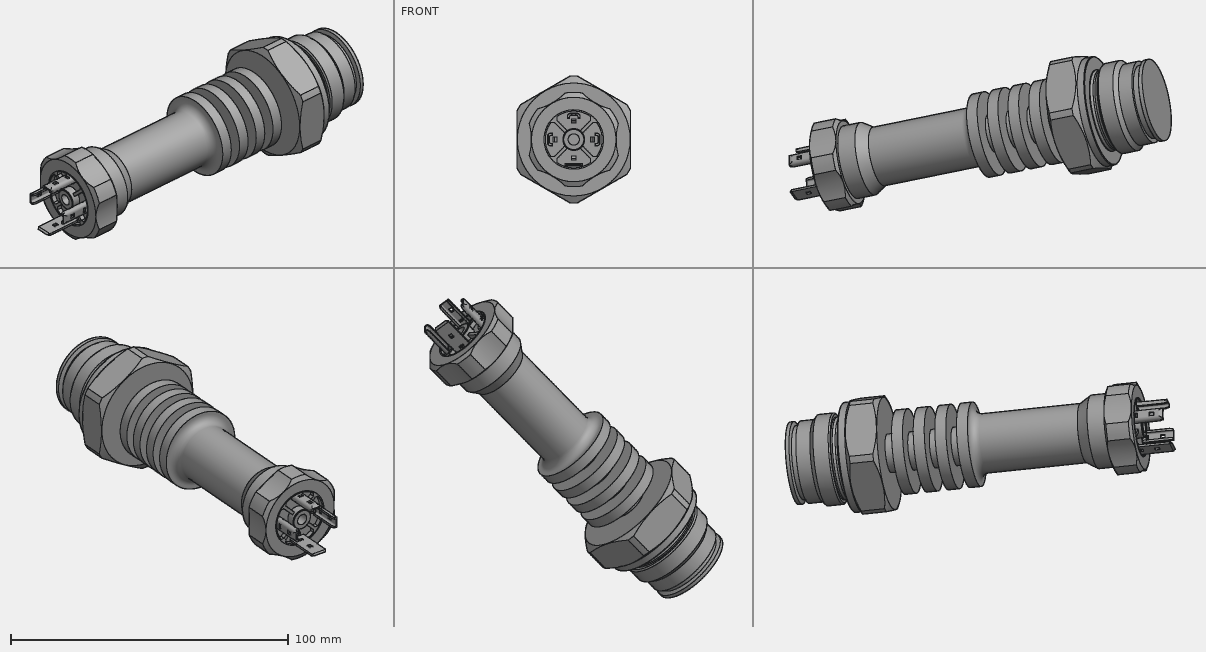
import cadquery as cq
import math

OVERALL_LENGTH = 140.5

REAR_DIA = 30.0
REAR_LIP_END = 1.4
REAR_GROOVE_DIA = 27.0
REAR_GROOVE_START = 2.0
REAR_GROOVE_END = 4.0
COLLAR_CHAMFER_START = 9.1
COLLAR_DIA = 33.3
COLLAR_START = 10.7
COLLAR_END = 16.9
COLLAR_EDGE_CHAMFER = 0.5
NECK_GROOVE_DIA = 29.2
NECK_GROOVE_START = 17.4
NECK_GROOVE_END = 20.1
NECK_GROOVE_TAPER = 1.0
FLANGE_DIA = 40.0
FLANGE_START = 20.4
FLANGE_CHAMFER = 0.3

NUT_START = 23.2
NUT_END = 35.1
NUT_ACROSS_FLATS = 41.0
NUT_CORNER_DIA = 46.0
NUT_FACE_DIA = 40.7
NUT_REAR_CHAMFER_LENGTH = 1.8
NUT_FRONT_CHAMFER_LENGTH = 1.4

CORE_DIA = 14.0
FIN_DIA = 30.8
FIN_COUNT = 4
FIN_THICKNESS = 4.1
FIN_PITCH = 8.0
FIRST_FIN_START = 39.5
LAST_FIN_START = FIRST_FIN_START + (FIN_COUNT - 1) * FIN_PITCH

BARREL_DIA = 21.6
FLARE_RADIUS = 3.2
SHOULDER_DIA = 26.8
SHOULDER_CONE_START = 107.2
SHOULDER_START = 111.4

CAP_START = 118.0
CAP_FACE = 128.3
CAP_DIA = 34.1
CAP_FACE_DIA = 30.5
CAP_CHAMFER_LENGTH = 1.0
FLUTE_COUNT = 6
FLUTE_BOTTOM_RADIUS = 15.3
CORNER_HALF_WIDTH = 3.1

CARRIER_DIA = 21.5
CARRIER_RECESS = 0.3
POCKET_DIA = 20.5
POCKET_DEPTH = 2.1
POCKET_FLOOR = CAP_FACE - POCKET_DEPTH
RIB_WIDTH = 1.2
RIB_FLARE_START = 9.3
BOSS_DIA = 7.9
BOSS_PROJECTION = 1.3
BOSS_TIP = CAP_FACE + BOSS_PROJECTION
BOSS_CHAMFER = 0.3
BOSS_HOLE_DIA = 4.1
BOSS_HOLE_DEPTH = 5.6

SHEET = 0.8
PUNCH_DEPTH = 2 * SHEET
CONTACT_OUTER_RADIUS = 9.5
CHANNEL_WIDTH = 4.6
CHANNEL_HEIGHT = 2.0
CHANNEL_FLAT = 2.0
CHANNEL_TIP = 138.4
CHANNEL_TIP_LENGTH = 1.3
CHANNEL_TIP_INSET = 0.1
BLADE_WIDTH = 6.2
BLADE_TIP_LENGTH = 0.8
TIP_INSET = 0.35
BLADE_TIP_INSET = 0.7
HOLE_WIDTH = 1.3
HOLE_LENGTH = 1.7
HOLE_STATION = 134.3
WINDOW_WIDTH = 1.7
WINDOW_END = 129.1

LUG_WIDTH = 1.7
LUG_HEIGHT = 1.3
LUG_INNER_RADIUS = 6.0
LUG_OUTER_RADIUS = 7.5
LUG_BEVEL = 0.8


def cylinder(diameter, start, end):
    """Cylinder on the Y axis between two stations."""
    return cq.Workplane("XZ", origin=(0, -start, 0)).circle(diameter / 2).extrude(end - start)


def revolved(profile):
    """Solid of revolution from (diameter, station) pairs, closed along the axis."""
    outline = [(0, -profile[0][1])]
    outline += [(diameter / 2, -station) for diameter, station in profile]
    outline.append((0, -profile[-1][1]))
    return cq.Workplane("XY").polyline(outline).close().revolve(360, (0, 0), (0, 1))


def around_axis(solid, angle):
    return solid.rotate((0, 0, 0), (0, 1, 0), angle)


def rear_coupling():
    return revolved([
        (REAR_DIA, 0),
        (REAR_DIA, REAR_LIP_END),
        (REAR_GROOVE_DIA, REAR_GROOVE_START),
        (REAR_GROOVE_DIA, REAR_GROOVE_END),
        (REAR_DIA, REAR_GROOVE_END),
        (REAR_DIA, COLLAR_CHAMFER_START),
        (COLLAR_DIA, COLLAR_START),
        (COLLAR_DIA, COLLAR_END - COLLAR_EDGE_CHAMFER),
        (COLLAR_DIA - 2 * COLLAR_EDGE_CHAMFER, COLLAR_END),
        (REAR_DIA, COLLAR_END),
        (REAR_DIA, NECK_GROOVE_START),
        (NECK_GROOVE_DIA, NECK_GROOVE_START + NECK_GROOVE_TAPER),
        (NECK_GROOVE_DIA, NECK_GROOVE_END - NECK_GROOVE_TAPER),
        (REAR_DIA, NECK_GROOVE_END),
        (REAR_DIA, FLANGE_START),
        (FLANGE_DIA - 2 * FLANGE_CHAMFER, FLANGE_START),
        (FLANGE_DIA, FLANGE_START + FLANGE_CHAMFER),
        (FLANGE_DIA, NUT_START),
    ])


def hexagon_nut():
    corner_to_corner = NUT_ACROSS_FLATS / math.cos(math.pi / 6)
    hexagon = cq.Workplane("XZ", origin=(0, -NUT_START, 0)).polygon(6, corner_to_corner)
    prism = around_axis(hexagon.extrude(NUT_END - NUT_START), 30)
    envelope = revolved([
        (FLANGE_DIA, NUT_START),
        (NUT_CORNER_DIA, NUT_START + NUT_REAR_CHAMFER_LENGTH),
        (NUT_CORNER_DIA, NUT_END - NUT_FRONT_CHAMFER_LENGTH),
        (NUT_FACE_DIA, NUT_END),
    ])
    return prism.intersect(envelope)


def finned_core():
    core = cylinder(CORE_DIA, NUT_END, LAST_FIN_START)
    for index in range(FIN_COUNT):
        start = FIRST_FIN_START + index * FIN_PITCH
        core = core.union(cylinder(FIN_DIA, start, start + FIN_THICKNESS))
    return core


def barrel():
    start = LAST_FIN_START + FIN_THICKNESS
    radius = BARREL_DIA / 2
    shoulder_radius = SHOULDER_DIA / 2
    profile = (
        cq.Workplane("XY")
        .moveTo(0, -CAP_START)
        .lineTo(shoulder_radius, -CAP_START)
        .lineTo(shoulder_radius, -SHOULDER_START)
        .lineTo(radius, -SHOULDER_CONE_START)
        .lineTo(radius, -start - FLARE_RADIUS)
        .tangentArcPoint((radius + FLARE_RADIUS, -start), relative=False)
        .lineTo(0, -start)
        .close()
    )
    return profile.revolve(360, (0, 0), (0, 1))


def fluted_cap():
    cap = revolved([
        (CAP_FACE_DIA, CAP_START),
        (CAP_DIA, CAP_START + CAP_CHAMFER_LENGTH),
        (CAP_DIA, CAP_FACE - CAP_CHAMFER_LENGTH),
        (CAP_FACE_DIA, CAP_FACE),
    ])
    corner_angle = math.asin(CORNER_HALF_WIDTH / (CAP_DIA / 2))
    half_flute_angle = math.pi / FLUTE_COUNT - corner_angle
    edge_distance = CAP_DIA / 2 * math.cos(half_flute_angle)
    half_chord = CAP_DIA / 2 * math.sin(half_flute_angle)
    sag = edge_distance - FLUTE_BOTTOM_RADIUS
    flute_radius = (half_chord**2 + sag**2) / (2 * sag)
    flute = (
        cq.Workplane("XZ", origin=(FLUTE_BOTTOM_RADIUS + flute_radius, -CAP_START, 0))
        .circle(flute_radius)
        .extrude(CAP_FACE - CAP_START)
    )
    for index in range(FLUTE_COUNT):
        cap = cap.cut(around_axis(flute, index * 360 / FLUTE_COUNT))
    return cap


def carrier_pockets():
    """Four pockets round the boss, parted by diagonal ribs that flare at the wall."""
    pockets = cylinder(POCKET_DIA, POCKET_FLOOR, CAP_FACE)
    half_rib = RIB_WIDTH / 2
    flare = CARRIER_DIA / 2 - RIB_FLARE_START
    rib = (
        cq.Workplane("XZ", origin=(0, -POCKET_FLOOR, 0))
        .moveTo(0, -half_rib)
        .lineTo(RIB_FLARE_START, -half_rib)
        .lineTo(RIB_FLARE_START + flare, -half_rib - flare)
        .lineTo(RIB_FLARE_START + flare, half_rib + flare)
        .lineTo(RIB_FLARE_START, half_rib)
        .lineTo(0, half_rib)
        .close()
        .extrude(POCKET_DEPTH)
    )
    for angle in (45, 135, 225, 315):
        pockets = pockets.cut(around_axis(rib, angle))
    return pockets.union(cylinder(CARRIER_DIA, CAP_FACE - CARRIER_RECESS, CAP_FACE))


def boss():
    return revolved([
        (BOSS_DIA, POCKET_FLOOR),
        (BOSS_DIA, BOSS_TIP - BOSS_CHAMFER),
        (BOSS_DIA - 2 * BOSS_CHAMFER, BOSS_TIP),
    ])


def tapered_bar(width, height, tip, tip_length, width_inset, height_inset):
    """Bar above the axis whose free end tapers on all four sides."""
    middle = CONTACT_OUTER_RADIUS - height / 2
    shank = (
        cq.Workplane("XZ", origin=(0, -POCKET_FLOOR, middle))
        .rect(width, height)
        .extrude(tip - tip_length - POCKET_FLOOR)
    )
    end = (
        cq.Workplane("XZ", origin=(0, -(tip - tip_length), middle))
        .rect(width, height)
        .workplane(offset=tip_length)
        .rect(width - 2 * width_inset, height - 2 * height_inset)
        .loft(ruled=True)
    )
    return shank.union(end)


def punched(contact):
    """Punch the small hole near the tip and the window at the root of a contact."""
    middle = CONTACT_OUTER_RADIUS - SHEET / 2
    hole = cq.Workplane("XY").box(HOLE_WIDTH, HOLE_LENGTH, PUNCH_DEPTH)
    window_length = WINDOW_END - CAP_FACE
    window = cq.Workplane("XY").box(WINDOW_WIDTH, window_length, PUNCH_DEPTH)
    contact = contact.cut(hole.translate((0, -HOLE_STATION, middle)))
    return contact.cut(window.translate((0, -CAP_FACE - window_length / 2, middle)))


def lug():
    """Upright lug with a bevel on the side facing the boss."""
    top = POCKET_FLOOR + LUG_HEIGHT
    return (
        cq.Workplane("YZ", origin=(-LUG_WIDTH / 2, 0, 0))
        .moveTo(-POCKET_FLOOR, LUG_INNER_RADIUS)
        .lineTo(-top + LUG_BEVEL, LUG_INNER_RADIUS)
        .lineTo(-top, LUG_INNER_RADIUS + LUG_BEVEL)
        .lineTo(-top, LUG_OUTER_RADIUS)
        .lineTo(-POCKET_FLOOR, LUG_OUTER_RADIUS)
        .close()
        .extrude(LUG_WIDTH)
    )


def channel_contact():
    """Narrow contact folded into a channel that opens towards the axis."""
    bend_radius = (CHANNEL_WIDTH - CHANNEL_FLAT) / 2
    length = CHANNEL_TIP - POCKET_FLOOR

    def rounded_block(width, top, bottom, radius):
        block = cq.Workplane("XZ", origin=(0, -POCKET_FLOOR, (top + bottom) / 2))
        return block.rect(width, top - bottom).extrude(length).edges("|Y and >Z").fillet(radius)

    inner_side = CONTACT_OUTER_RADIUS - CHANNEL_HEIGHT
    channel = rounded_block(CHANNEL_WIDTH, CONTACT_OUTER_RADIUS, inner_side, bend_radius)
    hollow = rounded_block(
        CHANNEL_WIDTH - 2 * SHEET, CONTACT_OUTER_RADIUS - SHEET, inner_side, bend_radius - SHEET
    )
    taper = tapered_bar(
        CHANNEL_WIDTH, CHANNEL_HEIGHT, CHANNEL_TIP, CHANNEL_TIP_LENGTH, CHANNEL_TIP_INSET, TIP_INSET
    )
    return punched(channel.cut(hollow).intersect(taper))


def blade_contact():
    """Wide flat contact."""
    return punched(
        tapered_bar(BLADE_WIDTH, SHEET, OVERALL_LENGTH, BLADE_TIP_LENGTH, BLADE_TIP_INSET, TIP_INSET)
    )


result = rear_coupling().union(hexagon_nut()).union(finned_core()).union(barrel())
result = result.union(fluted_cap().cut(carrier_pockets())).union(boss())
for contact_angle in (-90, 0, 90):
    result = result.union(around_axis(channel_contact(), contact_angle))
result = result.union(around_axis(blade_contact(), 180))
for lug_angle in (0, 90, 180, 270):
    result = result.union(around_axis(lug(), lug_angle))
result = result.cut(cylinder(BOSS_HOLE_DIA, BOSS_TIP - BOSS_HOLE_DEPTH, BOSS_TIP))